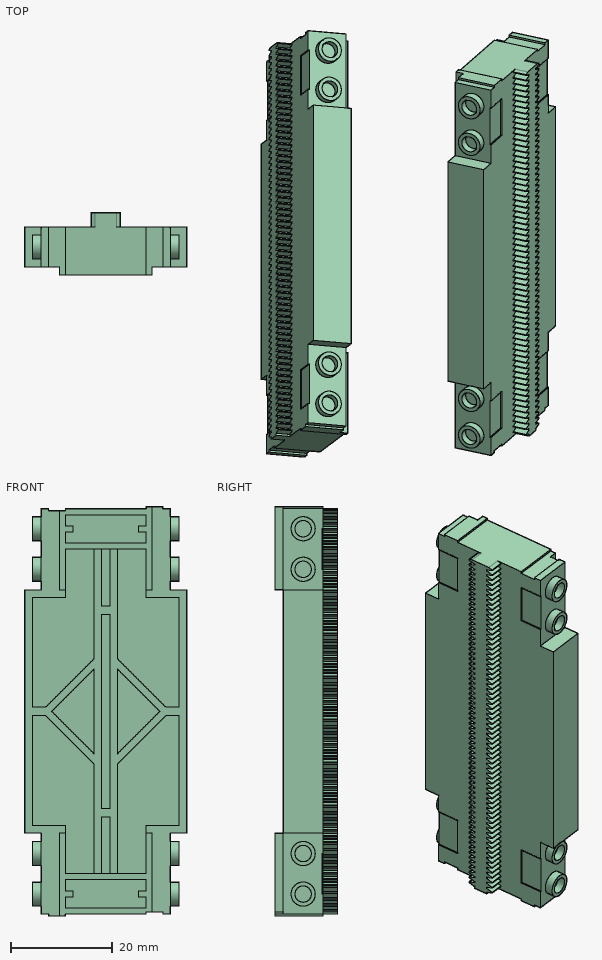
import cadquery as cq
body_length = 80.0
middle_length = 48.0
middle_width = 32.0
end_width = 25.5
body_depth = 7.9
floor_thickness = 1.2
side_wall = 1.5

rim_height = 1.6
rim_width = 18.3
end_pocket_width = 15.9
end_wall = 1.2
end_pocket_length = 5.6
tab_length = 1.5
tab_thickness = 1.2

centre_slot_width = 1.7
centre_rib_thickness = 1.45
cross_web_thickness = 1.7
cross_web_position = 19.95
diamond_rib_outer = 12.7
diamond_rib_inner = 10.7

tongue_width = 3.3
tongue_height = 0.4

pin_diameter = 4.8
pin_bore = 3.2
pin_length = 1.7
pin_positions = (28.0, 36.0)
relief_depth = 0.25

rack_height = 2.8
rack_core_width = 3.1
rack_width = 5.8
tooth_count = 66
tooth_flank = 0.4
tooth_crest = 0.2
tooth_lead = 0.2

half_length = body_length / 2
full_depth = body_depth + rim_height
middle_pocket_width = middle_width - 2 * side_wall
middle_pocket_length = middle_length - 2 * side_wall
end_pocket_outer = half_length - end_wall
end_pocket_inner = end_pocket_outer - end_pocket_length
centre_pocket_length = 2 * (end_pocket_inner - end_wall)
spine_width = centre_slot_width + 2 * centre_rib_thickness
tooth_pitch = body_length / tooth_count


def block(width, length, front, back=0.0, x=0.0, z=0.0):
    """Box centred on (x, z), reaching from y = -back to y = -front."""
    centre = (x, -(front + back) / 2, z)
    return cq.Workplane("XY").box(width, front - back, length).translate(centre)


def prism(points, front, back=0.0):
    """Closed XZ outline reaching from y = -back to y = -front."""
    return cq.Workplane("XZ", origin=(0, -back, 0)).polyline(points).close().extrude(front - back)


def make_outer_body():
    body = block(middle_width, middle_length, body_depth)
    body = body.union(block(end_width, body_length, body_depth))
    rim_length = (body_length - middle_length) / 2
    rim_centre = (body_length + middle_length) / 4
    for side in (-1, 1):
        body = body.union(block(rim_width, rim_length, full_depth, z=side * rim_centre))
    return body


def shape_tongues_and_notches(body):
    """Each end face has a tongue on one side and a matching notch on the other."""
    tongue_x = (end_pocket_width + tongue_width) / 2
    rim_part = (rim_width - end_pocket_width) / 2
    rim_x = (rim_width + end_pocket_width) / 4
    for side in (-1, 1):
        tongue_z = side * (half_length + tongue_height / 2)
        tongue = block(tongue_width, tongue_height, body_depth, x=side * tongue_x, z=tongue_z)
        tongue = tongue.union(block(rim_part, tongue_height, full_depth, x=side * rim_x, z=tongue_z))
        notch_z = side * (half_length - tongue_height / 2)
        notch = block(tongue_width, tongue_height, full_depth, x=-side * tongue_x, z=notch_z)
        body = body.union(tongue).cut(notch)
    return body


def make_ribs():
    ribs = block(spine_width, centre_pocket_length, body_depth)
    ribs = ribs.cut(block(centre_slot_width, centre_pocket_length, body_depth))
    for side in (-1, 1):
        web_z = side * cross_web_position
        ribs = ribs.union(block(centre_slot_width, cross_web_thickness, body_depth, z=web_z))

    outer = diamond_rib_outer
    inner = diamond_rib_inner
    diamond = prism([(outer, 0), (0, outer), (-outer, 0), (0, -outer)], body_depth)
    diamond = diamond.cut(prism([(inner, 0), (0, inner), (-inner, 0), (0, -inner)], body_depth))
    link_length = middle_pocket_width / 2 - inner
    link_x = (middle_pocket_width / 2 + inner) / 2
    for side in (-1, 1):
        diamond = diamond.union(block(link_length, cross_web_thickness, body_depth, x=side * link_x))
    diamond = diamond.cut(block(centre_slot_width, 2 * outer, body_depth))
    return ribs.union(diamond)


def make_middle_pocket():
    pocket = block(middle_pocket_width, middle_pocket_length, full_depth, floor_thickness)
    pocket = pocket.union(block(end_pocket_width, centre_pocket_length, full_depth, floor_thickness))
    return pocket.cut(make_ribs())


def make_end_pocket(side):
    pocket_z = side * (end_pocket_outer + end_pocket_inner) / 2
    pocket = block(end_pocket_width, end_pocket_length, full_depth, floor_thickness, z=pocket_z)
    tab_x = (end_pocket_width - tab_length) / 2
    for tab_side in (-1, 1):
        pocket = pocket.cut(block(tab_length, tab_thickness, full_depth, x=tab_side * tab_x, z=pocket_z))
    return pocket


def make_pin(side, z):
    face = cq.Workplane("YZ", origin=(side * end_width / 2, -body_depth / 2, z))
    return face.circle(pin_diameter / 2).circle(pin_bore / 2).extrude(side * pin_length)


def make_relief(side, end):
    """Shallow step in the back face, from one pin centre to the other."""
    relief_width = (end_width - end_pocket_width) / 2
    relief_x = side * (end_width + end_pocket_width) / 4
    relief_length = pin_positions[1] - pin_positions[0]
    relief_z = end * sum(pin_positions) / 2
    return block(relief_width, relief_length, relief_depth, x=relief_x, z=relief_z)


def make_rack():
    """Bar with trapezoidal teeth along both long sides."""
    root = rack_core_width / 2
    crest = rack_width / 2
    right_side = []
    for tooth in range(tooth_count):
        top = half_length + tooth_lead - tooth * tooth_pitch
        right_side += [
            (root, top),
            (crest, top - tooth_flank),
            (crest, top - tooth_flank - tooth_crest),
            (root, top - 2 * tooth_flank - tooth_crest),
        ]
    cut_x = root + (crest - root) * tooth_lead / tooth_flank
    right_side[0] = (cut_x, half_length)
    right_side.append((root, -half_length))
    left_side = [(-x, z) for x, z in reversed(right_side)]
    return prism(right_side + left_side, 0.0, -rack_height)


result = shape_tongues_and_notches(make_outer_body())
result = result.cut(make_middle_pocket())
for end in (-1, 1):
    result = result.cut(make_end_pocket(end))
    for side in (-1, 1):
        result = result.cut(make_relief(side, end))
        for pin_z in pin_positions:
            result = result.union(make_pin(side, end * pin_z))
result = result.union(make_rack())